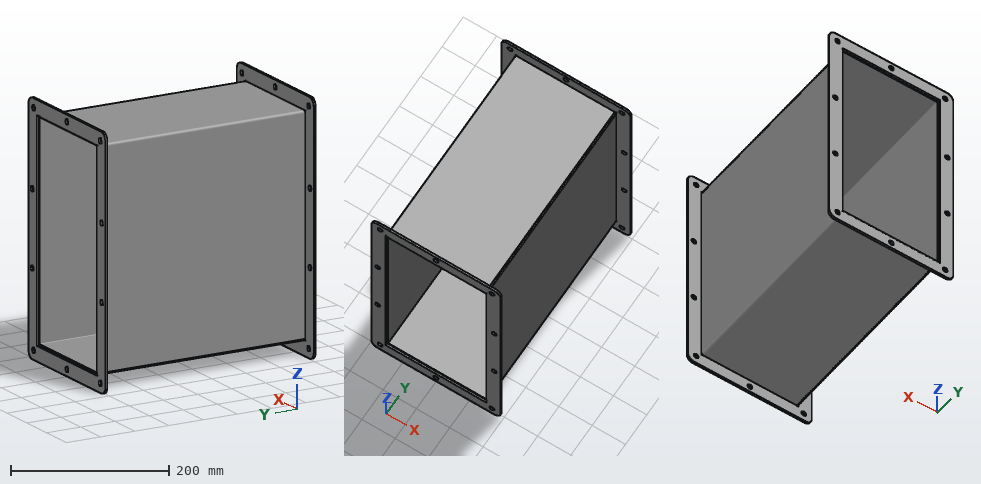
import cadquery as cq

flange_width = 193.8
flange_height = 346.0
overall_length = 308.0

flange_thickness = 3.0
flange_corner_radius = 10.0
hole_diameter = 7.3
corner_hole_inset = 12.8
side_hole_inset = 9.5
side_hole_spacing = 105.0

duct_width = 152.0
duct_height = 304.5
sheet_thickness = 2.5
bend_radius = 3.5
duct_length = overall_length - 2 * flange_thickness


def box_along_y(width, height, length):
    """Rectangular block centred on the duct axis."""
    return cq.Workplane("XY").box(width, length, height)


def hole_positions():
    """Bolt positions (x, z): four corners, two per long side, one per short side."""
    corner_x = flange_width / 2 - corner_hole_inset
    corner_z = flange_height / 2 - corner_hole_inset
    side_x = flange_width / 2 - side_hole_inset
    end_z = flange_height / 2 - side_hole_inset
    positions = []
    for side in (-1, 1):
        positions.append((0, side * end_z))
        for level in (-1, 1):
            positions.append((side * corner_x, level * corner_z))
            positions.append((side * side_x, level * side_hole_spacing / 2))
    return positions


def make_flange(end):
    """Bolted frame at one end of the duct; end is -1 or 1 along Y."""
    frame = box_along_y(flange_width, flange_height, flange_thickness)
    frame = frame.edges("|Y").fillet(flange_corner_radius)
    frame = frame.cut(box_along_y(duct_width, duct_height, flange_thickness))
    holes = (
        cq.Workplane("XZ")
        .pushPoints(hole_positions())
        .circle(hole_diameter / 2)
        .extrude(flange_thickness, both=True)
    )
    frame = frame.cut(holes)
    return frame.translate((0, end * (overall_length - flange_thickness) / 2, 0))


def make_duct_half(turn):
    """L-shaped sheet: a wide wall and a tall wall joined by a bend, turned about the duct axis.

    Unturned, the bend is the -X, +Z corner. Each wall stops one sheet thickness
    short of the far side, so the two sheets meet edge to edge and leave a square notch.
    """
    reach_x = duct_width - sheet_thickness
    reach_z = duct_height - sheet_thickness
    sheet = box_along_y(reach_x, reach_z, duct_length)
    sheet = sheet.edges("|Y").edges("<X and >Z").fillet(bend_radius)
    inside = box_along_y(reach_x, reach_z, duct_length)
    inside = inside.edges("|Y").edges("<X and >Z").fillet(bend_radius - sheet_thickness)
    sheet = sheet.cut(inside.translate((sheet_thickness, 0, -sheet_thickness)))
    sheet = sheet.translate((-sheet_thickness / 2, 0, sheet_thickness / 2))
    return sheet.rotate((0, 0, 0), (0, 1, 0), turn)


flanges = [make_flange(end) for end in (-1, 1)]
duct_halves = [make_duct_half(turn) for turn in (0, 180)]

result = cq.Compound.makeCompound([body.val() for body in flanges + duct_halves])